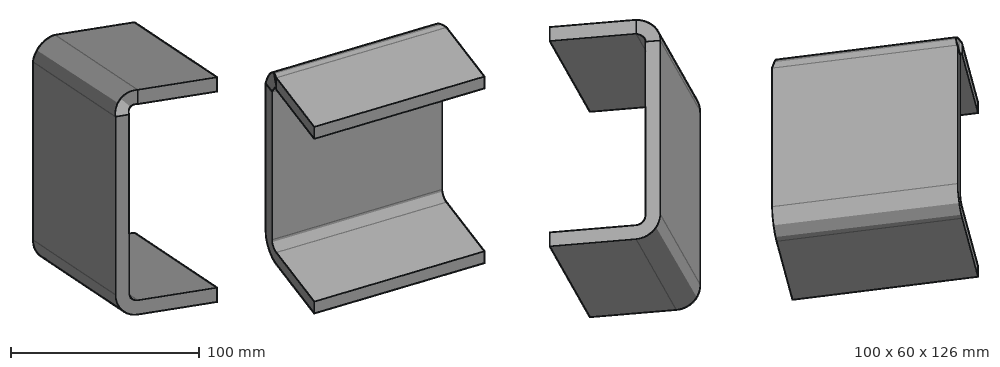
import cadquery as cq
import math

height = 126.0
width = 100.0
depth = 60.0
thickness = 8.1
inner_radius = 5.0
outer_radius = inner_radius + thickness

end_depth = 1.5
cut_margin = 1.3
curve_steps = 12

bend_y = outer_radius
bend_z = height - outer_radius


def channel():
    """Sheet bent into a channel, with its web on the -Y side and flanges toward +Y."""
    outer = (
        cq.Workplane("XY")
        .box(width, depth, height, centered=(True, False, False))
        .edges("|X and <Y")
        .fillet(outer_radius)
    )
    inside = (
        cq.Workplane("XY")
        .box(width, depth, height - 2 * thickness, centered=(True, False, False))
        .translate((0, thickness, thickness))
        .edges("|X and <Y")
        .fillet(inner_radius)
    )
    return outer.cut(inside)


def bend_point(radius, fraction, inset):
    """Point a fraction of the way round the upper bend, inset from the -X end."""
    angle = math.pi / 2 * (1 + fraction)
    return cq.Vector(
        -width / 2 + inset,
        bend_y + radius * math.cos(angle),
        bend_z + radius * math.sin(angle),
    )


def hollow_edge(radius):
    """Parabolic inset curve that meets the sheet end at both bend lines."""
    fractions = [step / curve_steps for step in range(curve_steps + 1)]
    points = [bend_point(radius, f, 4 * end_depth * f * (1 - f)) for f in fractions]
    return cq.Edge.makeSpline(points)


def outside_edge(radius):
    """Arc round the bend, just beyond the sheet end."""
    points = [bend_point(radius, f, -cut_margin) for f in (0, 0.5, 1)]
    return cq.Edge.makeThreePointArc(*points)


def bend_end_cutter():
    """Solid whose radially ruled face hollows the -X end of the upper bend."""
    radii = (inner_radius - cut_margin, outer_radius + cut_margin)
    hollow_edges = [hollow_edge(radius) for radius in radii]
    outside_edges = [outside_edge(radius) for radius in radii]
    faces = [
        cq.Face.makeRuledSurface(*hollow_edges),
        cq.Face.makeRuledSurface(*outside_edges),
    ]
    for hollow, outside in zip(hollow_edges, outside_edges):
        faces.append(cq.Face.makeRuledSurface(hollow, outside))
    for fraction in (0, 1):
        corners = [bend_point(radius, fraction, 0) for radius in radii]
        corners += [bend_point(radius, fraction, -cut_margin) for radius in reversed(radii)]
        faces.append(cq.Face.makeFromWires(cq.Wire.makePolygon(corners, close=True)))
    return cq.Workplane(cq.Solid.makeSolid(cq.Shell.makeShell(faces)).fix())


left_cutter = bend_end_cutter()
right_cutter = left_cutter.mirror("YZ")
result = channel().cut(left_cutter).cut(right_cutter)